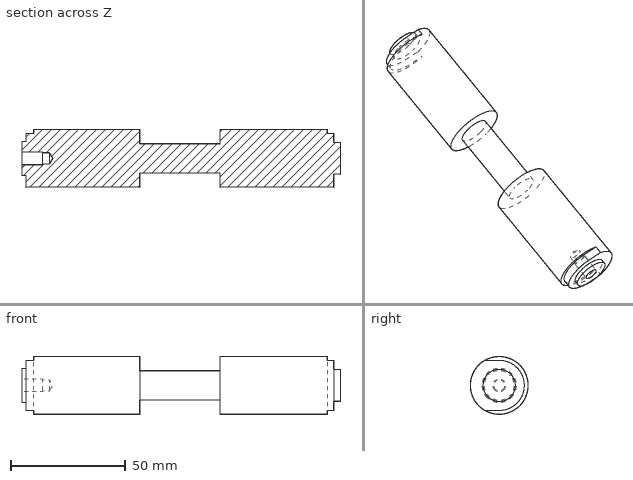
import cadquery as cq
import math

total_length = 139.55
roller_diameter = 25.4
roller_length = 50.0
shaft_diameter = 13.0
left_stub_diameter = 15.0
left_stub_length = 1.7
right_stub_diameter = 14.1
right_stub_length = 2.9

boss_half_width = 11.0
left_boss_length = 3.4
right_boss_length = 2.9

bore_diameter = 5.5
bore_depth = 9.0
drill_diameter = 4.9
hole_depth = 12.0
drill_point_angle = 118.0

left_end = -total_length / 2
right_end = total_length / 2
left_roller_start = left_end + left_stub_length
right_roller_end = right_end - right_stub_length
right_roller_start = right_roller_end - roller_length


def cylinder(start, length, diameter):
    """Solid cylinder along X, beginning at the given station."""
    return cq.Workplane("YZ", origin=(start, 0, 0)).circle(diameter / 2).extrude(length)


def end_step(start, length):
    """Material removed around the U-shaped boss at one roller end."""
    boss = (
        cq.Workplane("YZ", origin=(start, 0, 0))
        .moveTo(-roller_diameter, -boss_half_width)
        .lineTo(0, -boss_half_width)
        .threePointArc((boss_half_width, 0), (0, boss_half_width))
        .lineTo(-roller_diameter, boss_half_width)
        .close()
        .extrude(length)
    )
    return cylinder(start, length, 2 * roller_diameter).cut(boss)


def stepped_hole():
    """Blind hole from the left end, stepping from the bore to a drill with a conical point."""
    bore_radius = bore_diameter / 2
    drill_radius = drill_diameter / 2
    point_length = drill_radius / math.tan(math.radians(drill_point_angle / 2))
    bore_bottom = left_end + bore_depth
    hole_bottom = left_end + hole_depth
    profile = [
        (left_end, 0),
        (left_end, bore_radius),
        (bore_bottom, bore_radius),
        (bore_bottom, drill_radius),
        (hole_bottom, drill_radius),
        (hole_bottom + point_length, 0),
    ]
    return cq.Workplane("XY").polyline(profile).close().revolve(360, (0, 0, 0), (1, 0, 0))


left_roller = cylinder(left_roller_start, roller_length, roller_diameter)
left_roller = left_roller.cut(end_step(left_roller_start, left_boss_length))
right_roller = cylinder(right_roller_start, roller_length, roller_diameter)
right_roller = right_roller.cut(end_step(right_roller_end - right_boss_length, right_boss_length))

shaft = cylinder(left_roller_start, right_roller_end - left_roller_start, shaft_diameter)
left_stub = cylinder(left_end, left_stub_length, left_stub_diameter)
right_stub = cylinder(right_roller_end, right_stub_length, right_stub_diameter)

result = shaft.union(left_roller).union(right_roller).union(left_stub).union(right_stub)
result = result.cut(stepped_hole())